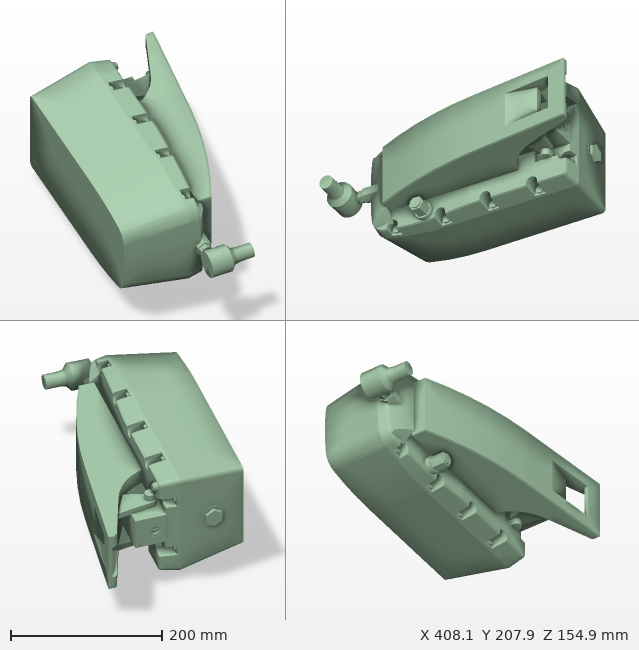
import cadquery as cq
import math


OVERALL_LENGTH = 408.08
OVERLAP = 1.0

HALF_WIDTH = 77.47
SHOULDER_X = 197.0
FRONT_CORNER_X = 306.0
FRONT_CORNER_Z = 62.0
BOW_X = 313.2
DRAFT = 8.0
HOUSING_DEPTH = 92.4
LID_HEIGHT = 28.0
BACK_CORNER_RADIUS = 6.0
FRONT_CORNER_RADIUS = 23.0
LID_SLOPE_X = 152.0
LID_BOW_Y = 15.5
LID_EDGE_HEIGHT = 2.3
LID_EDGE_WIDTH = 1.0
NOTCH_DEPTH = 8.5
NOTCH_HALF_WIDTH = 40.8
NOTCH_END_X = 52.0

SCREW_FLOOR_Y = 4.4
SIDE_SLOT_RADIUS = 8.3
SIDE_SLOTS = [(56.6, 70.0), (127.9, 70.0), (199.2, 70.0), (275.3, 61.0)]
BACK_SLOT_RADIUS = 7.5
BACK_SLOT_X = 9.5
BACK_SLOT_Z = 41.0
SCREW_HEAD_DIAMETER = 10.0
SCREW_HEAD_HEIGHT = 3.0

EARTH_SCREW_XZ = (13.3, 64.4)
EARTH_WASHER_DIAMETER = 12.6
EARTH_WASHER_HEIGHT = 4.0
EARTH_HEAD_DIAMETER = 10.7
EARTH_SCREW_TOP_Y = 35.0
EARTH_HEAD_CHAMFER = 1.0

BREATHER_XZ = (221.8, -60.9)
BREATHER_FLANGE_DIAMETER = 24.0
BREATHER_FLANGE_Y = 29.6
BREATHER_HEX_CORNERS = 21.5
BREATHER_HEX_Y = 48.5
BREATHER_CAP_DIAMETER = 15.4
BREATHER_TOP_Y = 50.9

END_PLUG_Y = -47.6
END_PLUG_FACE_X = 0.5
END_PLUG_HEX_CORNERS = 26.0
END_PLUG_WASHER_DIAMETER = 32.5
END_PLUG_WASHER_PROUD = 0.6
END_PLUG_ROOT = 4.0

PEDAL_HALF_WIDTH = 45.0
TIP_X = -43.6
TIP_Y = 115.61
TOP_TANGENT = (105.7, 97.3)
TOE_X = 272.3
TOE_Y = 48.9
ARCH_FOOT_X = 76.2
ARCH_MIDDLE = (61.0, 55.0)
ARCH_TOP = (30.0, 76.5)
TIP_UNDERSIDE = (-35.4, 101.1)
TIP_ROUND_MIDDLE = (-41.5, 104.2)
TIP_ROUND_TOP_Y = 111.8
PEDAL_CORNER_RADIUS = 2.4
PEDAL_EDGE_WIDTH = 1.0
PEDAL_EDGE_HEIGHT = 2.4
SLOT_HALF_WIDTH = 25.2
BAR_END_X = -18.0
BAR_THICKNESS = 5.7
SLOT_WALL_X = 8.7
SLOT_WALL_TOP_Y = 95.7
SLOT_EXIT = (53.0, 103.7)

PIVOT_X = 32.0
PIVOT_Y = 32.4
LUG_RADIUS = 9.6
LUG_INNER_Z = 22.7
LUG_OUTER_Z = 31.4
LUG_TOP_BACK = (14.3, 82.4)
LUG_TOP_FRONT = (50.9, 63.7)
KNUCKLE_RADIUS = 6.9
BLOCK_START_X = 1.7
BLOCK_TOP_Y = 62.7
BLOCK_SCREW_Y = 34.5
BLOCK_RING_DIAMETER = 21.5
BLOCK_RING_DEPTH = 0.4
BLOCK_HOLE_DIAMETER = 12.6
BLOCK_HOLE_DEPTH = 3.0
BLOCK_SCREW_SLOT = 1.5

RAMP_BACK_X = 275.3
RAMP_TOP_Y = 33.0
RAMP_MIDDLE = (294.0, 25.8)
RAMP_FRONT_X = 309.5
RAMP_BASE_HALF_WIDTH = 57.0
RAMP_TOP_HALF_WIDTH = 41.0

GLAND_Y = 16.9
GLAND_CORNERS = 22.6
GLAND_END_X = 317.0
NUT_CORNERS = 18.2
NUT_END_X = 324.5
NECK_RADIUS = 6.5
CONNECTOR_RADIUS = 19.0
CONNECTOR_X = TIP_X + OVERALL_LENGTH - CONNECTOR_RADIUS
CONNECTOR_BASE_Y = 7.1
CONNECTOR_STEPS = [
    (18.6, CONNECTOR_BASE_Y),
    (18.6, 27.3),
    (CONNECTOR_RADIUS, 27.3),
    (CONNECTOR_RADIUS, 37.1),
    (11.4, 44.0),
    (10.1, 53.8),
    (10.1, 72.3),
]


def prism(profile, z_from, z_to):
    """Extrude a closed XY profile between two Z heights."""
    return profile.extrude(z_to - z_from).translate((0, 0, z_from))


def box(x_range, y_range, z_range):
    size = [high - low for low, high in (x_range, y_range, z_range)]
    corner = (x_range[0], y_range[0], z_range[0])
    return cq.Workplane("XY").box(*size, centered=False).translate(corner)


def upright(x, z, y_from, y_to):
    """Workplane at height y_from facing +Y, plus the height up to y_to."""
    plane = cq.Plane(origin=(x, y_from, z), xDir=(1, 0, 0), normal=(0, 1, 0))
    return cq.Workplane(plane), y_to - y_from


def upright_cylinder(x, z, y_from, y_to, radius):
    plane, height = upright(x, z, y_from, y_to)
    return plane.circle(radius).extrude(height)


def along_x(x, y):
    """Workplane facing +X centred on the Z = 0 plane, with local x along +Y."""
    return cq.Workplane(cq.Plane(origin=(x, y, 0), xDir=(0, 1, 0), normal=(1, 0, 0)))


def hexagon_along_x(x_from, x_to, y, across_corners):
    """Hexagonal bar along X with two of its corners pointing along Z."""
    plane = cq.Plane(origin=(x_from, y, 0), xDir=(0, 0, 1), normal=(1, 0, 0))
    return cq.Workplane(plane).polygon(6, across_corners).extrude(x_to - x_from)


def drafted_shell(depth):
    """Drafted block growing toward -Y from the joint, with rounded corners."""
    block = (
        cq.Workplane("XZ")
        .moveTo(0, HALF_WIDTH)
        .lineTo(SHOULDER_X, HALF_WIDTH)
        .tangentArcPoint((FRONT_CORNER_X, FRONT_CORNER_Z), relative=False)
        .threePointArc((BOW_X, 0), (FRONT_CORNER_X, -FRONT_CORNER_Z))
        .threePointArc(side_arc_middle(), (SHOULDER_X, -HALF_WIDTH))
        .lineTo(0, -HALF_WIDTH)
        .close()
        .extrude(depth, taper=DRAFT)
    )
    inset = depth * math.tan(math.radians(DRAFT))
    front_x = FRONT_CORNER_X - 2 * inset
    low_y = -0.75 * depth
    high_y = -0.25 * depth
    back_edges = cq.selectors.BoxSelector((0, low_y, -HALF_WIDTH), (inset, high_y, HALF_WIDTH))
    front_edges = cq.selectors.BoxSelector((front_x, low_y, -HALF_WIDTH), (BOW_X, high_y, HALF_WIDTH))
    block = block.edges(back_edges).edges("not(#Y)").fillet(BACK_CORNER_RADIUS)
    return block.edges(front_edges).edges("not(#Y)").fillet(FRONT_CORNER_RADIUS)


def side_arc_middle():
    """Midpoint of the -Z side arc, which leaves the straight side tangentially."""
    run = FRONT_CORNER_X - SHOULDER_X
    drop = HALF_WIDTH - FRONT_CORNER_Z
    radius = (run**2 + drop**2) / (2 * drop)
    half_angle = math.asin(run / radius) / 2
    x = SHOULDER_X + radius * math.sin(half_angle)
    return (x, -HALF_WIDTH + radius * (1 - math.cos(half_angle)))


def make_lid():
    """Drafted lid with a falling top and a bevelled rim."""
    lid = drafted_shell(LID_HEIGHT).mirror("XZ")
    slope = (LID_HEIGHT - LID_BOW_Y) / (BOW_X - LID_SLOPE_X)
    far_x = OVERALL_LENGTH
    falling_top = (
        cq.Workplane("XY")
        .moveTo(LID_SLOPE_X, LID_HEIGHT)
        .lineTo(far_x, LID_HEIGHT - slope * (far_x - LID_SLOPE_X))
        .lineTo(far_x, LID_HEIGHT)
        .close()
    )
    lid = lid.cut(prism(falling_top, -HALF_WIDTH, HALF_WIDTH))
    crease = lid.edges(cq.selectors.NearestToPointSelector((LID_SLOPE_X, LID_HEIGHT, 0))).val()
    top_edges = lid.edges().filter(lambda edge: edge.BoundingBox().ymin > LID_BOW_Y / 2)
    rim = top_edges.filter(lambda edge: not edge.isSame(crease))
    return rim.chamfer(LID_EDGE_HEIGHT, LID_EDGE_WIDTH)


def cut_lid_pockets(body):
    """Hinge notch at the back and a pocket with a screw head at each fixing point."""
    above = LID_HEIGHT + OVERLAP
    floor = LID_HEIGHT - NOTCH_DEPTH
    notch = box((-OVERLAP, NOTCH_END_X), (floor, above), (-NOTCH_HALF_WIDTH, NOTCH_HALF_WIDTH))
    body = body.cut(notch)
    for side in (-1, 1):
        for x, z in SIDE_SLOTS:
            body = cut_pocket(body, x, side * z, SIDE_SLOT_RADIUS, (0, side))
        body = cut_pocket(body, BACK_SLOT_X, side * BACK_SLOT_Z, BACK_SLOT_RADIUS, (-1, 0))
    return body


def cut_pocket(body, x, z, radius, outward):
    """Round pocket that opens through the nearest lid wall, with a screw head on its floor."""
    pocket = upright_cylinder(x, z, SCREW_FLOOR_Y, LID_HEIGHT + OVERLAP, radius)
    mouth_x = x + outward[0] * radius
    mouth_z = z + outward[1] * radius
    plane, height = upright(mouth_x, mouth_z, SCREW_FLOOR_Y, LID_HEIGHT + OVERLAP)
    pocket = pocket.union(plane.rect(2 * radius, 2 * radius).extrude(height))
    head = upright_cylinder(
        x, z, SCREW_FLOOR_Y - OVERLAP, SCREW_FLOOR_Y + SCREW_HEAD_HEIGHT, SCREW_HEAD_DIAMETER / 2
    )
    return body.cut(pocket).union(head)


def make_pedal():
    """Wide pedal with bevelled top edges and a finger slot at its tip."""
    side_profile = (
        cq.Workplane("XY")
        .moveTo(TIP_X, TIP_Y)
        .lineTo(*TOP_TANGENT)
        .tangentArcPoint((TOE_X, TOE_Y), relative=False)
        .lineTo(TOE_X, LID_HEIGHT)
        .lineTo(ARCH_FOOT_X, LID_HEIGHT)
        .threePointArc(ARCH_MIDDLE, ARCH_TOP)
        .lineTo(*TIP_UNDERSIDE)
        .threePointArc(TIP_ROUND_MIDDLE, (TIP_X, TIP_ROUND_TOP_Y))
        .close()
    )
    pedal = prism(side_profile, -PEDAL_HALF_WIDTH, PEDAL_HALF_WIDTH)
    upper_region = cq.selectors.BoxSelector(
        (0, BLOCK_TOP_Y, -HALF_WIDTH), (TOE_X, TIP_Y, HALF_WIDTH)
    )
    pedal = pedal.edges("#Z").edges(upper_region).chamfer(PEDAL_EDGE_WIDTH, PEDAL_EDGE_HEIGHT)
    pedal = pedal.edges(">Y").chamfer(PEDAL_EDGE_WIDTH, PEDAL_EDGE_HEIGHT)
    plan_outline = box((TIP_X, TOE_X), (0, TIP_Y), (-PEDAL_HALF_WIDTH, PEDAL_HALF_WIDTH)).edges("|Y")
    pedal = pedal.intersect(plan_outline.fillet(PEDAL_CORNER_RADIUS))
    return pedal.cut(make_finger_slot())


def make_finger_slot():
    """Slot under the tip that leaves a bar across the pedal and rises through its top."""
    top_slope = (TOP_TANGENT[1] - TIP_Y) / (TOP_TANGENT[0] - TIP_X)
    bar_low_y = TIP_Y - BAR_THICKNESS
    bar_end_y = bar_low_y + top_slope * (BAR_END_X - TIP_X)
    before_tip = TIP_X - BAR_THICKNESS
    profile = (
        cq.Workplane("XY")
        .moveTo(before_tip, bar_low_y - top_slope * BAR_THICKNESS)
        .lineTo(BAR_END_X, bar_end_y)
        .lineTo(BAR_END_X, TIP_Y)
        .lineTo(SLOT_EXIT[0], TIP_Y)
        .lineTo(*SLOT_EXIT)
        .lineTo(SLOT_WALL_X, SLOT_WALL_TOP_Y)
        .lineTo(SLOT_WALL_X, PIVOT_Y + KNUCKLE_RADIUS)
        .lineTo(before_tip, PIVOT_Y + KNUCKLE_RADIUS)
        .close()
    )
    return prism(profile, -SLOT_HALF_WIDTH, SLOT_HALF_WIDTH)


def make_hinge():
    """Central block with a lug and an outer knuckle on each side."""
    notch_floor = LID_HEIGHT - NOTCH_DEPTH
    lug_profile = (
        cq.Workplane("XY")
        .moveTo(PIVOT_X - LUG_RADIUS, PIVOT_Y)
        .threePointArc((PIVOT_X, PIVOT_Y - LUG_RADIUS), (PIVOT_X + LUG_RADIUS, PIVOT_Y))
        .lineTo(*LUG_TOP_FRONT)
        .lineTo(*LUG_TOP_BACK)
        .close()
    )
    knuckle_profile = (
        cq.Workplane("XY")
        .moveTo(PIVOT_X - KNUCKLE_RADIUS, notch_floor)
        .lineTo(PIVOT_X - KNUCKLE_RADIUS, PIVOT_Y)
        .threePointArc((PIVOT_X, PIVOT_Y + KNUCKLE_RADIUS), (PIVOT_X + KNUCKLE_RADIUS, PIVOT_Y))
        .lineTo(PIVOT_X + KNUCKLE_RADIUS, notch_floor)
        .close()
    )
    block = box((BLOCK_START_X, ARCH_FOOT_X), (notch_floor, BLOCK_TOP_Y), (-LUG_INNER_Z, LUG_INNER_Z))
    ring = along_x(BLOCK_START_X, BLOCK_SCREW_Y).circle(BLOCK_RING_DIAMETER / 2).extrude(BLOCK_RING_DEPTH)
    hole = along_x(BLOCK_START_X, BLOCK_SCREW_Y).circle(BLOCK_HOLE_DIAMETER / 2).extrude(BLOCK_HOLE_DEPTH)
    hole_floor_x = BLOCK_START_X + BLOCK_HOLE_DEPTH
    screw_slot = along_x(hole_floor_x, BLOCK_SCREW_Y).rect(BLOCK_HOLE_DIAMETER, BLOCK_SCREW_SLOT)
    hinge = block.cut(ring).cut(hole).cut(screw_slot.extrude(BLOCK_SCREW_SLOT))
    lug = prism(lug_profile, LUG_INNER_Z, LUG_OUTER_Z)
    side_parts = lug.union(prism(knuckle_profile, LUG_OUTER_Z, NOTCH_HALF_WIDTH))
    return hinge.union(side_parts).union(side_parts.mirror("XY"))


def make_earth_screw():
    """Washer and coned head on the lid's back corner."""
    shank_y = LID_HEIGHT - OVERLAP
    washer_top = LID_HEIGHT + EARTH_WASHER_HEIGHT
    washer = upright_cylinder(*EARTH_SCREW_XZ, shank_y, washer_top, EARTH_WASHER_DIAMETER / 2)
    head = upright_cylinder(*EARTH_SCREW_XZ, shank_y, EARTH_SCREW_TOP_Y, EARTH_HEAD_DIAMETER / 2)
    return washer.union(head.faces(">Y").chamfer(EARTH_HEAD_CHAMFER))


def make_breather():
    """Flanged hexagonal plug standing on the sloping part of the lid."""
    root_y = LID_BOW_Y
    flange = upright_cylinder(*BREATHER_XZ, root_y, BREATHER_FLANGE_Y, BREATHER_FLANGE_DIAMETER / 2)
    plane, height = upright(*BREATHER_XZ, root_y, BREATHER_HEX_Y)
    hexagon = plane.polygon(6, BREATHER_HEX_CORNERS).extrude(height)
    cap = upright_cylinder(*BREATHER_XZ, root_y, BREATHER_TOP_Y, BREATHER_CAP_DIAMETER / 2)
    return flange.union(hexagon).union(cap)


def make_end_plug():
    """Hexagonal plug and its washer, set in the drafted back wall."""
    wall_x = -END_PLUG_Y * math.tan(math.radians(DRAFT))
    washer = (
        along_x(wall_x - END_PLUG_WASHER_PROUD, END_PLUG_Y)
        .circle(END_PLUG_WASHER_DIAMETER / 2)
        .extrude(END_PLUG_WASHER_PROUD + OVERLAP)
        .rotate((wall_x, END_PLUG_Y, 0), (wall_x, END_PLUG_Y, 1), DRAFT)
    )
    hexagon = hexagon_along_x(END_PLUG_FACE_X, wall_x + END_PLUG_ROOT, END_PLUG_Y, END_PLUG_HEX_CORNERS)
    return washer.union(hexagon)


def make_toe_ramp():
    """Curved hump in front of the pedal, narrowing toward its top."""
    hump_profile = (
        cq.Workplane("XY")
        .moveTo(RAMP_BACK_X, LID_BOW_Y)
        .lineTo(RAMP_BACK_X, RAMP_TOP_Y)
        .threePointArc(RAMP_MIDDLE, (RAMP_FRONT_X, LID_BOW_Y))
        .close()
    )
    cross_section = (
        cq.Workplane("YZ")
        .moveTo(LID_BOW_Y, -RAMP_BASE_HALF_WIDTH)
        .lineTo(RAMP_TOP_Y, -RAMP_TOP_HALF_WIDTH)
        .lineTo(RAMP_TOP_Y, RAMP_TOP_HALF_WIDTH)
        .lineTo(LID_BOW_Y, RAMP_BASE_HALF_WIDTH)
        .close()
        .extrude(BOW_X)
    )
    lid_walls = drafted_shell(RAMP_TOP_Y).mirror("XZ")
    return prism(hump_profile, -HALF_WIDTH, HALF_WIDTH).intersect(cross_section).intersect(lid_walls)


def make_cable_end():
    """Gland and nut along X that carry an upright turned connector."""
    root_x = RAMP_BACK_X
    gland = hexagon_along_x(root_x, GLAND_END_X, GLAND_Y, GLAND_CORNERS)
    nut = hexagon_along_x(GLAND_END_X, NUT_END_X, GLAND_Y, NUT_CORNERS)
    neck = along_x(NUT_END_X, GLAND_Y).circle(NECK_RADIUS).extrude(CONNECTOR_X - NUT_END_X)
    section = cq.Workplane("XY").moveTo(0, CONNECTOR_BASE_Y)
    for radius, y in CONNECTOR_STEPS:
        section = section.lineTo(radius, y)
    section = section.lineTo(0, CONNECTOR_STEPS[-1][1]).close()
    connector = section.revolve(360, (0, 0, 0), (0, 1, 0)).translate((CONNECTOR_X, 0, 0))
    return gland.union(nut).union(neck).union(connector)


result = cut_lid_pockets(drafted_shell(HOUSING_DEPTH).union(make_lid()))
for piece in (
    make_pedal(),
    make_hinge(),
    make_earth_screw(),
    make_breather(),
    make_end_plug(),
    make_toe_ramp(),
    make_cable_end(),
):
    result = result.union(piece)